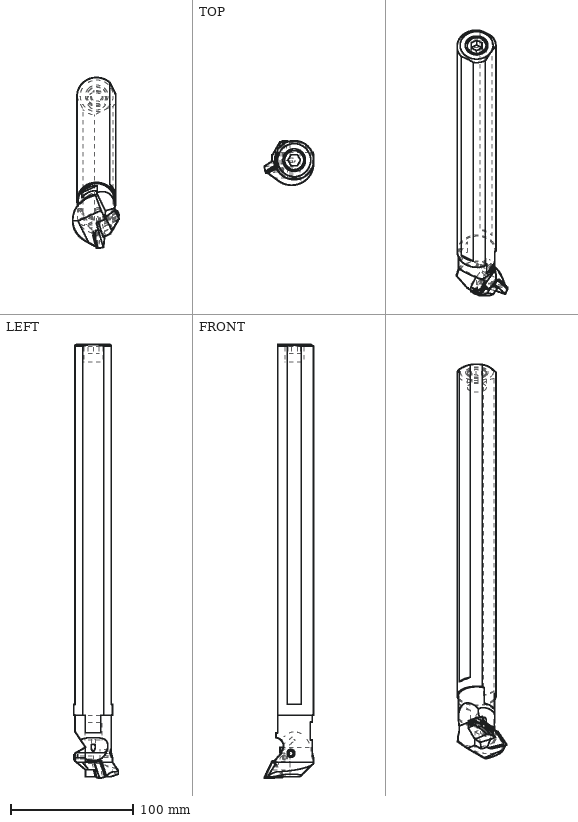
import cadquery as cq
import math


length = 355.0
shank_r = 16.0
shank_bottom = 52.0
top_chamfer_width = 2.5
top_chamfer_height = 1.5
side_flat_offset = 13.5
side_flat_bottom = 37.3
cross_flat_offset = 15.0
cross_flat_bottom = 60.7

neck_r = 15.0
neck_bottom = 20.5
relief_offset = 13.0
relief_bottom = 31.5
relief_top = 46.0

flange_top = 16.5
flange_bottom = 13.0
head_bottom = 1.5
skirt_reach = 2.0
skirt_drop = 2.8
head_r = 18.0
head_center = (-2.0, -2.5)
heel_start = (16.0, 12.5)
heel_slope = (3.3, 3.2)
bevel_outer = (-20.5, 3.5)
bevel_inner = (-14.5, 1.5)

tip_x = -24.5
tip_y = -5.0
nose_r = 0.7
lead_angle = 3.0
insert_edge = 16.5
insert_thickness = 4.5
shim_thickness = 1.5
shim_inset = 0.5
rake_lean_x = 0.15
rake_lean_z = 0.25

slope_top = (-10.3, 21.0)
slope_middle = (-17.5, 13.0)
slope_bottom = (-23.0, 1.5)
scoop_r = 6.7
scoop_center = (-15.5, 26.5)

pocket_wall_x = -3.5
pocket_floor_y = 6.5
pocket_top = 25.5
seat_top = 14.2
runout_slope = 1.5
clamp_face_y = 15.0
clamp_nose_z = 7.0
clamp_face_bottom = 14.2
clamp_face_top = 20.5
clamp_inset = 2.0
clamp_back_x = -11.7
clamp_flank = ((-17.8, 4.3), (-11.7, 15.0))

clamp_screw_x = -7.8
clamp_screw_z = 17.5
clamp_screw_r = 1.5
clamp_screw_head_r = 2.0
clamp_screw_head_depth = 3.2
clamp_screw_end_y = 0.0
lock_screw_x = -2.65
lock_screw_z = 20.5
lock_screw_r = 3.2
lock_hole_end_y = -5.5
lock_screw_face_y = -12.0
plug_r = 7.8
plug_length = 14.2
plug_countersink = 1.5
plug_socket = 9.0
plug_socket_depth = 7.0
lock_socket = 3.5
clamp_socket = 2.0
small_socket_depth = 1.8

coolant_r = 1.8
coolant_y = 0.0
coolant_exit = (-9.0, 26.0)
coolant_length = 10.5
coolant_tilt = 40.0

far = 71.0
below = -3.5

rake_scale = math.sqrt(1 + rake_lean_x**2 + rake_lean_z**2)
nose_center = (tip_x + nose_r, tip_y, nose_r)
rake_plane = cq.Plane(
    origin=nose_center,
    xDir=(1, rake_lean_x, 0),
    normal=(rake_lean_x / rake_scale, -1 / rake_scale, rake_lean_z / rake_scale),
)


def polar(distance, degrees):
    """Point at a distance and direction from the origin."""
    angle = math.radians(degrees)
    return (distance * math.cos(angle), distance * math.sin(angle))


def y_prism(points, y_from, y_to):
    """Prism along Y with an outline given in X and Z."""
    plane = cq.Workplane(cq.Plane((0, y_from, 0), (1, 0, 0), (0, -1, 0)))
    return plane.polyline(points).close().extrude(y_from - y_to)


def x_prism(points, x_from, x_to):
    """Prism along X with an outline given in Y and Z."""
    return cq.Workplane("YZ", origin=(x_from, 0, 0)).polyline(points).close().extrude(x_to - x_from)


def y_rod(x, z, radius, y_from, y_to):
    """Cylinder along Y."""
    plane = cq.Workplane(cq.Plane((x, y_from, z), (1, 0, 0), (0, -1, 0)))
    return plane.circle(radius).extrude(y_from - y_to)


def slope_cutter(inset):
    """Everything on the -X side of the slanted side of the head, moved in by the inset."""
    edge = [(x + inset, z) for x, z in (slope_top, slope_middle, slope_bottom)]
    outside = [(slope_bottom[0] + inset, below), (-far, below), (-far, slope_top[1])]
    return y_prism(edge + outside, far, -far)


def triangle_plate(inset, start, thickness):
    """Rounded triangle with one corner at the tip, `start` behind the rake face."""
    plane = rake_plane.rotated((0, 0, lead_angle))
    center_distance = insert_edge / math.sqrt(3) - 2 * nose_r
    corner_distance = insert_edge / math.sqrt(3) - 2 * inset
    center = polar(center_distance, 30)
    corners = [polar(corner_distance, angle) for angle in (210, 330, 90)]
    points = [(center[0] + x, center[1] + y) for x, y in corners]
    plate = cq.Workplane(plane).workplane(offset=start).polyline(points).close().extrude(thickness)
    return plate.edges(cq.selectors.ParallelDirSelector(plane.zDir)).fillet(nose_r - inset)


def hex_socket(plane, across_flats, depth):
    """Hexagon socket sunk from the plane, with two corners on the plane's X direction."""
    corners = [polar(across_flats / math.sqrt(3), 60 * i) for i in range(6)]
    return cq.Workplane(plane).polyline(corners).close().extrude(-depth)


def behind_rake():
    """Half space on the chip side of the rake face."""
    return cq.Workplane(rake_plane).rect(2 * far, 2 * far).extrude(-far)


def bar():
    body = cq.Workplane("XY", origin=(0, 0, shank_bottom)).circle(shank_r).extrude(length - shank_bottom)
    body = body.faces(">Z").chamfer(top_chamfer_height, top_chamfer_width)
    flat = cq.Workplane("XY").box(2 * far, far, length, centered=(True, True, False))
    for side in (-1, 1):
        body = body.cut(flat.translate((0, side * (cross_flat_offset + far / 2), cross_flat_bottom)))
    return body


def neck():
    body = cq.Workplane("XY", origin=(0, 0, flange_top)).circle(neck_r).extrude(shank_bottom - flange_top)
    relief = cq.Workplane("XY", origin=(relief_offset + far / 2, 0, relief_bottom))
    return body.cut(relief.rect(far, far).extrude(relief_top - relief_bottom))


def head_cone():
    """Flange with a sloped shoulder, spreading into a skirt below."""
    skirt_bottom_r = shank_r + skirt_reach * (flange_bottom - head_bottom) / skirt_drop
    profile = [
        (0, head_bottom),
        (skirt_bottom_r, head_bottom),
        (shank_r, flange_bottom),
        (shank_r, flange_top),
        (neck_r, neck_bottom),
        (0, neck_bottom),
    ]
    return cq.Workplane("XZ").polyline(profile).close().revolve(360, (0, 0, 0), (0, 1, 0))


def head_outline():
    """Round back of the head joined to the tip by a tangent flank."""
    corner = (slope_bottom[0], tip_y - insert_thickness)
    to_corner = (corner[0] - head_center[0], corner[1] - head_center[1])
    corner_direction = math.atan2(to_corner[1], to_corner[0])
    touch_direction = corner_direction + math.acos(head_r / math.hypot(*to_corner))
    touch, bend, right = [
        (head_center[0] + x, head_center[1] + y)
        for x, y in (polar(head_r, math.degrees(touch_direction)), polar(head_r, -45), polar(head_r, 0))
    ]
    outline = cq.Workplane("XY", origin=(0, 0, head_bottom)).moveTo(*corner).lineTo(*touch)
    outline = outline.threePointArc(bend, right).lineTo(right[0], far).lineTo(corner[0], far).close()
    return outline.extrude(neck_bottom - head_bottom)


def heel_cutter():
    """Slanted plane that trims the underside on the +X side."""
    run, rise = heel_slope
    plane = cq.Plane((heel_start[0], 0, heel_start[1]), (run, 0, rise), (rise, 0, -run))
    return cq.Workplane(plane).rect(2 * far, 2 * far).extrude(far)


def bevel_cutter():
    """Bevel along the underside on the -Y side."""
    outline = [bevel_inner, bevel_outer, (-far, bevel_outer[1]), (-far, below), (bevel_inner[0], below)]
    return x_prism(outline, -far, far)


def chip_pocket():
    """Runout across the neck, and a deeper seat above the rake face."""
    runout = x_prism(
        [
            (pocket_floor_y, below),
            (pocket_floor_y, pocket_top),
            (far, pocket_top + runout_slope * (far - pocket_floor_y)),
            (far, below),
        ],
        -far,
        far,
    )
    below_shank = cq.Workplane("XY", origin=(0, 0, below)).rect(2 * far, 2 * far)
    below_shank = below_shank.extrude(shank_bottom - below)
    seat = cq.Workplane("XY", origin=(pocket_wall_x - far / 2, 0, below)).rect(far, 2 * far)
    seat = seat.extrude(seat_top - below).intersect(behind_rake())
    return runout.intersect(below_shank).union(seat)


def coolant_hole():
    along_x, along_z = polar(1, coolant_tilt)
    exit_point = (coolant_exit[0], coolant_y, coolant_exit[1])
    plane = cq.Plane(exit_point, (0, 1, 0), (along_x, 0, along_z))
    return cq.Workplane(plane).circle(coolant_r).extrude(coolant_length, both=True)


def plug_bore():
    """Bore for the plug with a countersunk mouth."""
    top = cq.Workplane("XY", origin=(0, 0, length))
    mouth = top.circle(plug_r + plug_countersink).workplane(offset=-plug_countersink).circle(plug_r).loft()
    return mouth.union(top.circle(plug_r).extrude(-plug_length))


def make_holder():
    head = head_cone().intersect(head_outline()).cut(heel_cutter()).cut(bevel_cutter())
    holder = bar().union(neck()).union(head)
    flat = cq.Workplane("XY", origin=(-side_flat_offset - far / 2, 0, side_flat_bottom)).rect(far, far)
    holder = holder.cut(flat.extrude(length))
    holder = holder.cut(slope_cutter(0)).cut(y_rod(*scoop_center, scoop_r, far, -far))
    holder = holder.cut(chip_pocket()).cut(coolant_hole()).cut(plug_bore())
    holder = holder.cut(y_rod(lock_screw_x, lock_screw_z, lock_screw_r, lock_hole_end_y, -far))
    return holder.cut(make_insert()).cut(make_shim()).cut(clamp_screw_body())


def make_insert():
    return triangle_plate(0, 0, insert_thickness)


def make_shim():
    return triangle_plate(shim_inset, insert_thickness, shim_thickness)


def make_clamp():
    """Clamp on the pocket floor, with a nose that reaches down onto the insert."""
    outline = [
        (tip_y, clamp_nose_z),
        (pocket_floor_y, clamp_nose_z),
        (clamp_face_y, clamp_face_bottom),
        (clamp_face_y, clamp_face_top),
        (pocket_floor_y, pocket_top),
        (pocket_floor_y, seat_top),
        (tip_y, seat_top),
    ]
    clamp = x_prism(outline, -far, pocket_wall_x).intersect(behind_rake())
    clamp = clamp.cut(slope_cutter(clamp_inset))
    back = cq.Workplane("XY", origin=(clamp_back_x - far / 2, 0, slope_middle[1])).rect(far, far)
    clamp = clamp.cut(back.extrude(far))
    (low_x, low_y), (high_x, high_y) = clamp_flank
    outside = [(high_x, far), (-far, far), (-far, low_y)]
    flank = cq.Workplane("XY").polyline([(low_x, low_y), (high_x, high_y)] + outside).close()
    return clamp.cut(flank.extrude(far)).cut(clamp_screw_body())


def clamp_screw_body():
    """Clamp screw without its socket."""
    neck_y = shank_r - clamp_screw_head_depth
    screw = y_rod(clamp_screw_x, clamp_screw_z, clamp_screw_head_r, shank_r, neck_y)
    return screw.union(y_rod(clamp_screw_x, clamp_screw_z, clamp_screw_r, neck_y, clamp_screw_end_y))


def make_clamp_screw():
    face = cq.Plane((clamp_screw_x, shank_r, clamp_screw_z), (1, 0, 0), (0, 1, 0))
    return clamp_screw_body().cut(hex_socket(face, clamp_socket, small_socket_depth))


def make_lock_screw():
    screw = y_rod(lock_screw_x, lock_screw_z, lock_screw_r, lock_hole_end_y, lock_screw_face_y)
    face = cq.Plane((lock_screw_x, lock_screw_face_y, lock_screw_z), (1, 0, 0), (0, -1, 0))
    return screw.cut(hex_socket(face, lock_socket, small_socket_depth))


def make_plug():
    face = cq.Plane((0, 0, length), (1, 0, 0), (0, 0, 1))
    plug = cq.Workplane(face).circle(plug_r).extrude(-plug_length)
    return plug.cut(hex_socket(face, plug_socket, plug_socket_depth))


holder = make_holder()
insert = make_insert()
shim = make_shim()
clamp = make_clamp()
clamp_screw = make_clamp_screw()
lock_screw = make_lock_screw()
plug = make_plug()

result = cq.Compound.makeCompound([
    body.solids().val() for body in (holder, insert, shim, clamp, clamp_screw, lock_screw, plug)
])